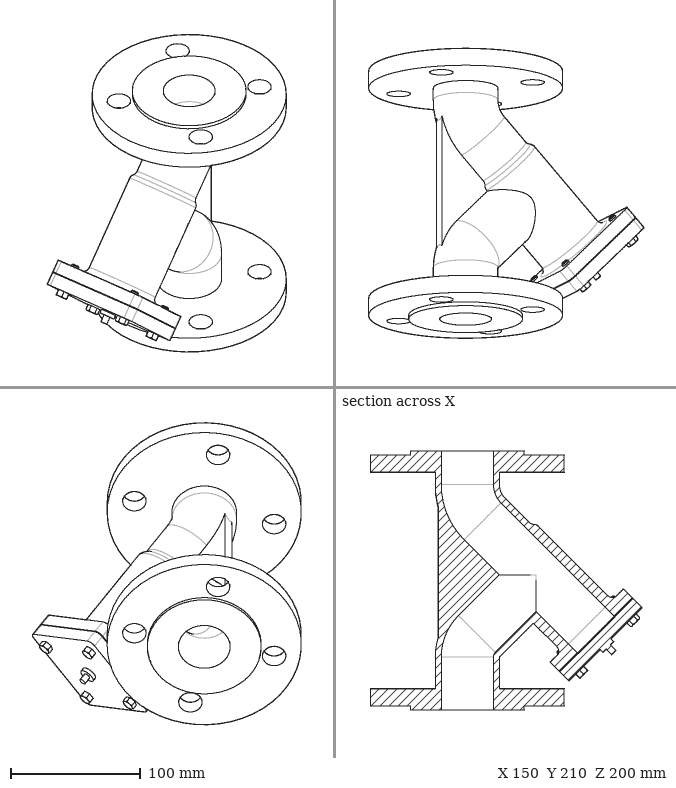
import cadquery as cq
import math

total_height = 200.0
pipe_diameter = 50.0
bore_diameter = 40.0
branch_angle = 45.0
upper_bend_radius = 40.0
lower_bend_radius = 25.1
upper_bend_start = 174.0
lower_bend_start = 41.0

flange_diameter = 150.0
flange_thickness = 13.5
raised_face_diameter = 88.0
raised_face_height = 3.0
flange_hole_count = 4
flange_hole_circle = 110.0
flange_hole_start_angle = 45.0
flange_hole_diameter = 18.0

chamber_diameter = 56.0
flare_start = 26.0
flare_radius = 5.0
plate_distance = 113.85
plate_fillet = 5.0

plate_side = 80.0
plate_thickness = 10.0
plate_corner_radius = 5.0
gasket_thickness = 0.5
cover_thickness = 10.0

bolt_count = 4
bolt_circle = 80.0
bolt_start_angle = 45.0
bolt_head_twist = 45.0
bolt_diameter = 6.0
bolt_tip_length = 2.0
bolt_tip_chamfer = 0.75
bolt_head_corners = 10.0
bolt_head_height = 4.5

plug_diameter = 12.0
plug_height = 3.0
plug_pin_diameter = 5.0
plug_pin_length = 6.0

rib_thickness = 10.0
rib_back = 22.5

slope_sine = math.sin(math.radians(branch_angle))
slope_cosine = math.cos(math.radians(branch_angle))
chamber_axis = cq.Vector(0, -slope_sine, -slope_cosine)
upper_bend_end_y = -upper_bend_radius * (1 - slope_cosine)
upper_bend_end_z = upper_bend_start - upper_bend_radius * slope_sine
lower_bend_end_y = -lower_bend_radius * (1 - slope_cosine)
lower_bend_end_z = lower_bend_start + lower_bend_radius * slope_sine

bend_gap_y = upper_bend_end_y - lower_bend_end_y
bend_gap_z = upper_bend_end_z - lower_bend_end_z
branch_length = (bend_gap_z - bend_gap_y) * slope_sine
junction_y = lower_bend_end_y - branch_length * slope_sine
junction_z = lower_bend_end_z + branch_length * slope_cosine

gasket_distance = plate_distance + plate_thickness
cover_distance = gasket_distance + gasket_thickness
cover_face_distance = cover_distance + cover_thickness


def chamber_plane(distance):
    """Plane square to the chamber axis, a distance along it from the end of the upper bend."""
    center_y = upper_bend_end_y - distance * slope_sine
    center_z = upper_bend_end_z - distance * slope_cosine
    return cq.Workplane(
        cq.Plane(
            origin=(0, center_y, center_z),
            xDir=(1, 0, 0),
            normal=chamber_axis,
        )
    )


def vertical_cylinder(diameter, bottom, top):
    return cq.Workplane("XY").workplane(offset=bottom).circle(diameter / 2).extrude(top - bottom)


def bend(diameter, radius, start, turn):
    """45 degree elbow that leaves the vertical axis at height start and leans toward -Y."""
    return (
        cq.Workplane("XY")
        .workplane(offset=start)
        .circle(diameter / 2)
        .revolve(branch_angle, (0, -radius, 0), (turn, -radius, 0))
    )


def flow_path(diameter):
    """Round rod along the whole pipe run, used for both the outside and the bore."""
    rising_branch = (
        cq.Workplane(
            cq.Plane(
                origin=(0, lower_bend_end_y, lower_bend_end_z),
                xDir=(1, 0, 0),
                normal=(0, -slope_sine, slope_cosine),
            )
        )
        .circle(diameter / 2)
        .extrude(branch_length)
    )
    sloping_pipe = chamber_plane(0).circle(diameter / 2).extrude(plate_distance)
    return (
        vertical_cylinder(diameter, 0, lower_bend_start)
        .union(bend(diameter, lower_bend_radius, lower_bend_start, 1))
        .union(rising_branch)
        .union(sloping_pipe)
        .union(bend(diameter, upper_bend_radius, upper_bend_start, -1))
        .union(vertical_cylinder(diameter, upper_bend_start, total_height))
    )


def flange(face, inward):
    """Flange whose raised face lies at height face; inward is +1 or -1 along Z."""
    back = face + inward * raised_face_height
    raised_face = vertical_cylinder(raised_face_diameter, face, back)
    disc = (
        cq.Workplane("XY")
        .workplane(offset=back)
        .circle(flange_diameter / 2)
        .extrude(inward * flange_thickness)
    )
    holes = (
        cq.Workplane("XY")
        .workplane(offset=back)
        .polarArray(flange_hole_circle / 2, flange_hole_start_angle, 360, flange_hole_count)
        .circle(flange_hole_diameter / 2)
        .extrude(inward * flange_thickness)
    )
    return disc.cut(holes).union(raised_face)


def chamber():
    """Turned chamber: an S-shaped flare at the pipe end and a fillet onto the plate."""
    pipe_radius = pipe_diameter / 2
    chamber_radius = chamber_diameter / 2
    flare_angle = math.acos(1 - (chamber_radius - pipe_radius) / (2 * flare_radius))
    arc_length = flare_radius * math.sin(flare_angle)
    arc_mid_length = flare_radius * math.sin(flare_angle / 2)
    arc_mid_rise = flare_radius * (1 - math.cos(flare_angle / 2))
    flare_end = flare_start + 2 * arc_length
    fillet_mid = plate_fillet * (1 - math.sqrt(0.5))
    axis_plane = cq.Plane(
        origin=(0, upper_bend_end_y, upper_bend_end_z),
        xDir=(1, 0, 0),
        normal=(0, slope_cosine, -slope_sine),
    )
    return (
        cq.Workplane(axis_plane)
        .moveTo(0, flare_start)
        .lineTo(pipe_radius, flare_start)
        .threePointArc(
            (pipe_radius + arc_mid_rise, flare_start + arc_mid_length),
            ((pipe_radius + chamber_radius) / 2, flare_start + arc_length),
        )
        .threePointArc(
            (chamber_radius - arc_mid_rise, flare_end - arc_mid_length),
            (chamber_radius, flare_end),
        )
        .lineTo(chamber_radius, plate_distance - plate_fillet)
        .threePointArc(
            (chamber_radius + fillet_mid, plate_distance - fillet_mid),
            (chamber_radius + plate_fillet, plate_distance),
        )
        .lineTo(0, plate_distance)
        .close()
        .revolve(360, (0, 0, 0), (0, 1, 0))
    )


def square_plate(distance, thickness):
    return (
        chamber_plane(distance)
        .rect(plate_side, plate_side)
        .extrude(thickness)
        .edges(cq.selectors.ParallelDirSelector(chamber_axis))
        .fillet(plate_corner_radius)
    )


def bolt_shanks():
    start = plate_distance - bolt_tip_length
    return (
        chamber_plane(start)
        .polarArray(bolt_circle / 2, bolt_start_angle, 360, bolt_count)
        .circle(bolt_diameter / 2)
        .extrude(cover_distance - start)
        .faces(cq.selectors.DirectionMinMaxSelector(chamber_axis, False))
        .chamfer(bolt_tip_chamfer)
    )


def rib():
    """Flat web between the bends, bounded by the pipe centreline and a vertical back edge."""
    return (
        cq.Workplane("YZ")
        .polyline(
            [
                (rib_back, lower_bend_start),
                (rib_back, upper_bend_start),
                (0, upper_bend_start),
                (upper_bend_end_y, upper_bend_end_z),
                (junction_y, junction_z),
                (lower_bend_end_y, lower_bend_end_z),
                (0, lower_bend_start),
            ]
        )
        .close()
        .extrude(rib_thickness / 2, both=True)
    )


def bolt_head(angle):
    """Hexagon head at an angle around the bolt circle, its outer corners turned off at 45 degrees."""
    seat = (
        chamber_plane(cover_face_distance)
        .transformed(rotate=(0, 0, angle))
        .transformed(offset=(bolt_circle / 2, 0, 0), rotate=(0, 0, bolt_head_twist))
    )
    hexagon = seat.polygon(6, bolt_head_corners).extrude(bolt_head_height)
    turned_blank = (
        seat.circle(bolt_head_corners / 2)
        .extrude(bolt_head_height)
        .faces(cq.selectors.DirectionMinMaxSelector(chamber_axis))
        .chamfer(bolt_head_corners / 2 * (1 - math.cos(math.pi / 6)))
    )
    return hexagon.intersect(turned_blank)


def build_housing():
    outside = (
        flow_path(pipe_diameter)
        .union(flange(0, 1))
        .union(flange(total_height, -1))
        .union(chamber())
        .union(square_plate(plate_distance, plate_thickness))
        .union(rib())
    )
    plate_bore = chamber_plane(plate_distance).circle(bore_diameter / 2).extrude(plate_thickness)
    return outside.cut(flow_path(bore_diameter)).cut(plate_bore).cut(bolt_shanks())


def build_gasket():
    opening = chamber_plane(gasket_distance).circle(bore_diameter / 2).extrude(gasket_thickness)
    return square_plate(gasket_distance, gasket_thickness).cut(opening).cut(bolt_shanks())


def build_cover():
    """Cover plate with its four bolts and the drain plug."""
    plug_flange = chamber_plane(cover_face_distance).circle(plug_diameter / 2).extrude(plug_height)
    plug_pin = (
        chamber_plane(cover_face_distance + plug_height)
        .circle(plug_pin_diameter / 2)
        .extrude(plug_pin_length)
    )
    cover_body = (
        square_plate(cover_distance, cover_thickness)
        .union(bolt_shanks())
        .union(plug_flange)
        .union(plug_pin)
    )
    for index in range(bolt_count):
        cover_body = cover_body.union(bolt_head(bolt_start_angle + index * 360 / bolt_count))
    return cover_body


housing = build_housing()
gasket = build_gasket()
cover = build_cover()

result = cq.Compound.makeCompound([housing.val(), gasket.val(), cover.val()])